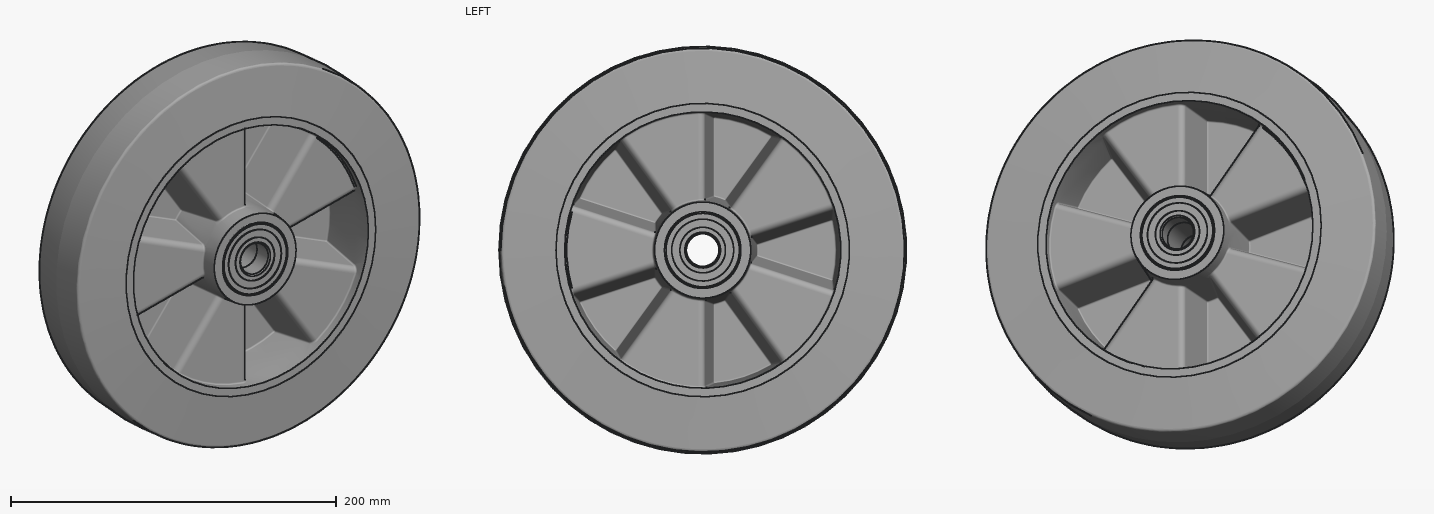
import cadquery as cq
import math

WHEEL_RADIUS = 125.0
HUB_HALF_WIDTH = 30.0

SEAT_RADIUS = 90.0
RIM_HALF_WIDTH = 25.0
SHOULDER_HALF_WIDTH = 22.8
CROWN_DROP = 1.2
SHOULDER_FILLET = 1.8

RIM_INNER_RADIUS = 84.8
HUB_RADIUS = 29.5
HUB_DRAFT = math.radians(5)
RIM_DRAFT = math.radians(4)
SECTORS_PER_SIDE = 5
SECTOR_PITCH = 360 / SECTORS_PER_SIDE
SHALLOW_FLOOR = 18.8
WEB_THICKNESS = 3.0
RIB_TOP_OFFSET = 0.8
RIB_DRAFT = math.radians(10)
RIB_TOP_FILLET = 4.2
POCKET_FILLET = 1.0

BORE_RADIUS = 10.0
INNER_RING_RADIUS = 14.0
OUTER_RING_INNER_RADIUS = 19.0
BEARING_RADIUS = 23.5
BEARING_WIDTH = 14.0
RING_CHAMFER = 1.0
SEAL_RECESS = 0.5

DEEP_FLOOR = SHALLOW_FLOOR - WEB_THICKNESS
BEARING_INNER_FACE = HUB_HALF_WIDTH - BEARING_WIDTH
AXLE = ((0, 0, 0), (1, 0, 0))


def spin(profile):
    """Revolve a closed XY profile, with y as the radius, about the X axis."""
    return profile.revolve(360, *AXLE)


def tube(inner_radius, outer_radius, start, end):
    """Ring about the X axis between two positions along X."""
    return (
        cq.Workplane("YZ", origin=(start, 0, 0))
        .circle(outer_radius)
        .circle(inner_radius)
        .extrude(end - start)
    )


def other_side(body):
    """Mirror image of a body on the other side of the wheel's middle plane."""
    return body.mirror("YZ")


def make_tyre():
    shoulder_radius = WHEEL_RADIUS - CROWN_DROP
    tyre = spin(
        cq.Workplane("XY")
        .moveTo(-RIM_HALF_WIDTH, SEAT_RADIUS)
        .lineTo(-SHOULDER_HALF_WIDTH, shoulder_radius)
        .lineTo(0, WHEEL_RADIUS)
        .lineTo(SHOULDER_HALF_WIDTH, shoulder_radius)
        .lineTo(RIM_HALF_WIDTH, SEAT_RADIUS)
        .close()
    )
    shoulder_edges = tyre.edges("%CIRCLE").filter(
        lambda edge: math.isclose(edge.radius(), shoulder_radius, abs_tol=0.002)
    )
    return shoulder_edges.fillet(SHOULDER_FILLET)


def hub_wall_radius(x):
    """Radius of the drafted hub wall at a position along X, widening from the -X end."""
    return HUB_RADIUS + (HUB_HALF_WIDTH + x) * math.tan(HUB_DRAFT)


def rim_wall_radius(x):
    """Radius of the drafted rim wall at a position along X, narrowing from the -X side."""
    return RIM_INNER_RADIUS - (RIM_HALF_WIDTH + x) * math.tan(RIM_DRAFT)


def make_rim_blank():
    """Plain disc as wide as the hub, with a seat for a bearing at both ends of its bore."""
    half_section = (
        cq.Workplane("XY")
        .moveTo(0, OUTER_RING_INNER_RADIUS)
        .lineTo(-BEARING_INNER_FACE, OUTER_RING_INNER_RADIUS)
        .lineTo(-BEARING_INNER_FACE, BEARING_RADIUS)
        .lineTo(-HUB_HALF_WIDTH, BEARING_RADIUS)
        .lineTo(-HUB_HALF_WIDTH, SEAT_RADIUS)
        .lineTo(0, SEAT_RADIUS)
    )
    return spin(half_section.mirrorY())


def annular_groove():
    """Space on the -X side of the rim: groove down to the deep floor and step at the rim face."""
    return spin(
        cq.Workplane("XY")
        .moveTo(-HUB_HALF_WIDTH, HUB_RADIUS)
        .lineTo(DEEP_FLOOR, hub_wall_radius(DEEP_FLOOR))
        .lineTo(DEEP_FLOOR, rim_wall_radius(DEEP_FLOOR))
        .lineTo(-RIM_HALF_WIDTH, RIM_INNER_RADIUS)
        .lineTo(-RIM_HALF_WIDTH, WHEEL_RADIUS)
        .lineTo(-HUB_HALF_WIDTH, WHEEL_RADIUS)
        .close()
    )


def rib_side():
    """Block on the -Y side of a drafted rib wall that runs along +Z, with a rounded top edge."""
    top = -SHALLOW_FLOOR
    bottom_offset = RIB_TOP_OFFSET + (DEEP_FLOOR - top) * math.tan(RIB_DRAFT)
    tangent_length = RIB_TOP_FILLET * math.tan((math.pi / 2 - RIB_DRAFT) / 2)
    fillet_start = (
        top + tangent_length * math.cos(RIB_DRAFT),
        RIB_TOP_OFFSET + tangent_length * math.sin(RIB_DRAFT),
    )
    fillet_end = (top, RIB_TOP_OFFSET - tangent_length)
    return (
        cq.Workplane("XY")
        .moveTo(DEEP_FLOOR, bottom_offset)
        .lineTo(*fillet_start)
        .tangentArcPoint(fillet_end, relative=False)
        .lineTo(top, -WHEEL_RADIUS)
        .lineTo(DEEP_FLOOR, -WHEEL_RADIUS)
        .close()
        .extrude(WHEEL_RADIUS)
    )


def shallow_sector():
    """Wedge between two ribs that fills the groove up to the shallow floor, centred on +Y."""
    half_sector = SECTOR_PITCH / 4
    upper_side = rib_side().mirror("XZ").rotate(*AXLE, half_sector - 90)
    return upper_side.intersect(upper_side.mirror("XY"))


def corrugated_groove():
    """Cutter for one side of the rim, with rounded floors and corners."""
    groove = annular_groove()
    sector = shallow_sector()
    for index in range(SECTORS_PER_SIDE):
        groove = groove.cut(sector.rotate(*AXLE, index * SECTOR_PITCH))

    def is_sharp(edge):
        """True for floor and corner edges, but not where a rounded rib top runs into a flat."""
        x = edge.Center().x
        is_rib_top = edge.geomType() == "LINE" and x < DEEP_FLOOR / 2
        return x > -(SHALLOW_FLOOR + POCKET_FILLET) and not is_rib_top

    return groove.edges().filter(is_sharp).fillet(POCKET_FILLET)


def make_rim():
    groove = corrugated_groove()
    far_groove = other_side(groove).rotate(*AXLE, SECTOR_PITCH / 2)
    return make_rim_blank().cut(groove).cut(far_groove)


def make_outer_ring():
    ring = tube(OUTER_RING_INNER_RADIUS, BEARING_RADIUS, -HUB_HALF_WIDTH, -BEARING_INNER_FACE)
    outer_rim = ring.faces("<X").edges(cq.selectors.RadiusNthSelector(-1))
    return outer_rim.chamfer(RING_CHAMFER)


def make_seal():
    seal_face = HUB_HALF_WIDTH - SEAL_RECESS
    return tube(INNER_RING_RADIUS, OUTER_RING_INNER_RADIUS, -seal_face, -BEARING_INNER_FACE)


def make_inner_ring():
    ring = tube(BORE_RADIUS, INNER_RING_RADIUS, -HUB_HALF_WIDTH, -BEARING_INNER_FACE)
    bore_rim = ring.faces("<X").edges(cq.selectors.RadiusNthSelector(0))
    return bore_rim.chamfer(RING_CHAMFER)


def make_spacer():
    return tube(BORE_RADIUS, INNER_RING_RADIUS, -BEARING_INNER_FACE, BEARING_INNER_FACE)


tyre = make_tyre()
rim = make_rim()
spacer = make_spacer()
bearing_bodies = []
for body in (make_outer_ring(), make_seal(), make_inner_ring()):
    bearing_bodies.append(body.val())
    bearing_bodies.append(other_side(body).val())

result = cq.Compound.makeCompound([tyre.val(), rim.val(), spacer.val(), *bearing_bodies])